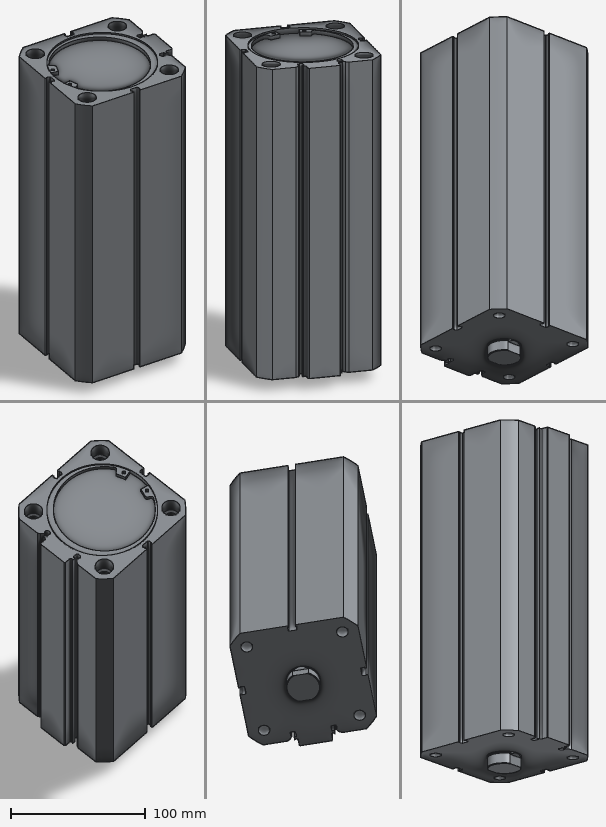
import cadquery as cq
import math


total_length = 252.0
rod_protrusion = 9.5
housing_length = total_length - rod_protrusion
body_width = 96.5
half_width = body_width / 2
corner_radius = 62.0
rail_height = 5.5

hole_offset = 36.0
hole_radius = 4.3
counterbore_radius = 6.8
counterbore_depth = 12.5

mouth_width = 5.5
slot_width = 6.8
slot_depth = 4.5
slot_corner = 1.3
lip_thickness = 1.5

rail_half_width = 12.5
rail_corner_chamfer = 0.8
groove_floor = 7.0
groove_inner_x = 13.4
groove_outer_x = 17.5
groove_corner = 1.0
rail_lip_x = 15.0
rail_lip_bottom = 2.8
rail_lip_dip = 1.0
flank_lip_x = 16.6
flank_lip_top = 3.5
flank_lip_bottom = 4.3
flank_bend_x = 18.5
flank_bend_depth = 1.3
flank_top_x = 20.7

bore_radius = 41.0
ring_recess = 1.3
ring_thickness = 3.0
plate_thickness = 12.5
ring_inner_radius = 37.8
ring_eccentricity = 2.3
lug_inner_radius = 34.3
lug_start_angle = 13.0
lug_end_angle = 27.0
lug_rounding = 2.0
lug_root_fillet = 2.0
lug_hole_angle = 18.2
lug_hole_radius = 1.3
lug_hole_centre = 37.8

lug_root_radius = (
    ring_eccentricity * math.cos(math.radians(lug_end_angle))
    + math.sqrt(ring_inner_radius**2 - (ring_eccentricity * math.sin(math.radians(lug_end_angle)))**2)
)

rod_radius = 12.9
nose_radius = 12.5
shoulder_top = 0.8
shoulder_bottom = 1.5
flat_half_width = 11.0
flat_runout = 0.5
rod_chamfer = 0.5

ring_top = housing_length - ring_recess
ring_bottom = ring_top - ring_thickness
plate_bottom = ring_bottom - plate_thickness


def cylinder(radius, bottom, top):
    return cq.Workplane("XY").workplane(offset=bottom).circle(radius).extrude(top - bottom)


def make_t_slot():
    """Cutter for the T-slot on the -Y side."""
    outer_y = -half_width
    mouth = cq.Workplane("XY").center(0, outer_y + slot_depth / 2)
    mouth = mouth.rect(mouth_width, slot_depth).extrude(housing_length)
    head_depth = slot_depth - lip_thickness
    head = cq.Workplane("XY").center(0, outer_y + slot_depth - head_depth / 2)
    head = head.rect(slot_width, head_depth).extrude(housing_length)
    head = head.edges("|Z and >Y").fillet(slot_corner)
    return mouth.union(head)


def make_rail():
    """Sensor rail standing on the +Y side."""
    rail = cq.Workplane("XY").center(0, half_width)
    rail = rail.rect(2 * rail_half_width, 2 * rail_height).extrude(housing_length)
    return rail.edges("|Z and >Y").chamfer(rail_corner_chamfer)


def make_rail_groove():
    """Cutter for the undercut groove on the +X side of the rail."""
    floor = half_width - groove_floor
    return (
        cq.Workplane("XY")
        .moveTo(rail_half_width, half_width)
        .lineTo((rail_half_width + rail_lip_x) / 2, half_width - rail_lip_dip)
        .lineTo(rail_lip_x, half_width)
        .lineTo(rail_lip_x, half_width - rail_lip_bottom)
        .lineTo(groove_inner_x, half_width - rail_lip_bottom)
        .lineTo(groove_inner_x, floor + groove_corner)
        .radiusArc((groove_inner_x + groove_corner, floor), -groove_corner)
        .lineTo(groove_outer_x - groove_corner, floor)
        .radiusArc((groove_outer_x, floor + groove_corner), -groove_corner)
        .lineTo(groove_outer_x, half_width - flank_lip_bottom)
        .lineTo(flank_lip_x, half_width - flank_lip_bottom)
        .lineTo(flank_lip_x, half_width - flank_lip_top)
        .lineTo(flank_bend_x, half_width - flank_bend_depth)
        .lineTo(flank_top_x, half_width)
        .close()
        .extrude(housing_length)
    )


def make_housing():
    body = cq.Workplane("XY").rect(body_width, body_width).extrude(housing_length)
    body = body.intersect(cylinder(corner_radius, 0, housing_length))
    body = body.union(make_rail())

    groove = make_rail_groove()
    body = body.cut(groove).cut(groove.mirror("YZ"))
    t_slot = make_t_slot()
    for angle in (-90, 0, 90):
        body = body.cut(t_slot.rotate((0, 0, 0), (0, 0, 1), angle))

    hole_spacing = 2 * hole_offset
    body = (
        body.faces(">Z").workplane(origin=(0, 0, housing_length))
        .rect(hole_spacing, hole_spacing, forConstruction=True).vertices()
        .cboreHole(2 * hole_radius, 2 * counterbore_radius, counterbore_depth)
    )

    body = body.cut(cylinder(bore_radius, plate_bottom, housing_length))
    return body.cut(cylinder(rod_radius, 0, plate_bottom))


def make_end_plate():
    return cylinder(bore_radius, plate_bottom, ring_bottom)


def polar_point(radius, angle):
    """Point at an angle in degrees from -Y towards +X."""
    return radius * math.sin(math.radians(angle)), -radius * math.cos(math.radians(angle))


def make_ring_lug():
    """Lug on the +X side of the ring gap, rounded at its far inner corner."""
    middle_angle = (lug_start_angle + lug_end_angle) / 2
    lug = (
        cq.Workplane("XY").workplane(offset=ring_bottom)
        .moveTo(*polar_point(lug_inner_radius, lug_start_angle))
        .lineTo(*polar_point(bore_radius, lug_start_angle))
        .threePointArc(polar_point(bore_radius, middle_angle), polar_point(bore_radius, lug_end_angle))
        .lineTo(*polar_point(lug_inner_radius, lug_end_angle))
        .threePointArc(
            polar_point(lug_inner_radius, middle_angle),
            polar_point(lug_inner_radius, lug_start_angle),
        )
        .close()
        .extrude(ring_thickness)
    )
    rounded_corner = (*polar_point(lug_inner_radius, lug_end_angle), ring_bottom)
    return lug.edges("|Z").edges(cq.NearestToPointSelector(rounded_corner)).fillet(lug_rounding)


def make_retaining_ring():
    ring = cylinder(bore_radius, ring_bottom, ring_top)
    opening = cylinder(ring_inner_radius, ring_bottom, ring_top)
    ring = ring.cut(opening.translate((0, -ring_eccentricity, 0)))

    gap_end = 2 * bore_radius
    gap = (
        cq.Workplane("XY").workplane(offset=ring_bottom)
        .polyline([
            (0, 0),
            polar_point(gap_end, -lug_start_angle),
            polar_point(gap_end, lug_start_angle),
        ])
        .close()
        .extrude(ring_thickness)
    )
    ring = ring.cut(gap)

    lug = make_ring_lug()
    ring = ring.union(lug).union(lug.mirror("YZ"))
    root_x, root_y = polar_point(lug_root_radius, lug_end_angle)
    for x in (-root_x, root_x):
        root = cq.NearestToPointSelector((x, root_y, ring_bottom + ring_thickness / 2))
        ring = ring.edges("|Z").edges(root).fillet(lug_root_fillet)

    lug_holes = [polar_point(lug_hole_centre, side * lug_hole_angle) for side in (-1, 1)]
    holes = cq.Workplane("XY").workplane(offset=ring_bottom).pushPoints(lug_holes)
    return ring.cut(holes.circle(lug_hole_radius).extrude(ring_thickness))


def make_flat_cutter():
    """Cutter for the -Y wrench flat, ending in a 45 degree run-out."""
    flat_depth = rod_radius - flat_half_width
    runout_bottom = -flat_runout - flat_depth
    return (
        cq.Workplane("YZ")
        .polyline([
            (-flat_half_width, -rod_protrusion),
            (-flat_half_width, runout_bottom),
            (-rod_radius, -flat_runout),
            (-2 * rod_radius, -flat_runout),
            (-2 * rod_radius, -rod_protrusion),
        ])
        .close()
        .extrude(rod_radius, both=True)
    )


def make_rod():
    rod = (
        cq.Workplane("XZ")
        .polyline([
            (0, plate_bottom),
            (rod_radius, plate_bottom),
            (rod_radius, -shoulder_top),
            (nose_radius, -shoulder_bottom),
            (nose_radius, -rod_protrusion + rod_chamfer),
            (nose_radius - rod_chamfer, -rod_protrusion),
            (0, -rod_protrusion),
        ])
        .close()
        .revolve()
    )
    flat = make_flat_cutter()
    return rod.cut(flat).cut(flat.mirror("XZ"))


housing = make_housing()
end_plate = make_end_plate()
retaining_ring = make_retaining_ring()
rod = make_rod()

result = cq.Compound.makeCompound([
    housing.val(),
    end_plate.val(),
    retaining_ring.val(),
    rod.val(),
])